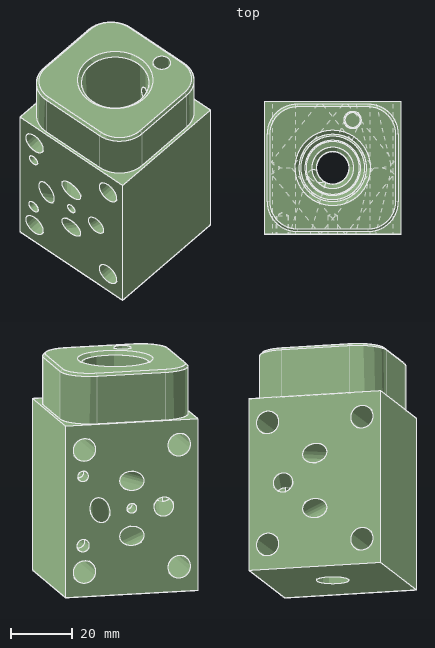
import math

import cadquery as cq

BLOCK_X = 44.45
BLOCK_Y = 43.18
BLOCK_Z = 57.15
TOTAL_Z = 73.81
FRONT_Y = -BLOCK_Y / 2

BOSS_X = 42.55
BOSS_Y = 41.45
BOSS_CORNER_RADIUS = 9.8
BOSS_CHAMFER = 0.85

MOUTH_RADIUS = 12.25
BORE_RADIUS = 10.95
STEP_RADIUS = 10.35
SEAT_RADIUS = 9.0
NOSE_RADIUS = 8.6
POCKET_RADIUS = 6.75
OUTLET_RADIUS = 5.25
BORE_FLOOR_Z = 46.0
SEAT_Z = 32.0
NOSE_FLOOR_Z = 22.0
POCKET_FLOOR_Z = 14.5
TAPER = math.radians(30)
DRILL_POINT = math.radians(59)

BOLT_DIAMETER = 7.5
BOLT_PITCH_X = 31.8
BOLT_PITCH_Z = 40.6
PORT_CENTRE_Z = 28.575

PASSAGE_DIAMETER = 6.35
PORT_OFFSET_X = 10.7
PORT_OFFSET_Z = 9.15
BYPASS_ANGLE = math.radians(39)
SIDE_ANGLE = math.radians(13.5)
TOP_PASSAGE_SLOPE = 0.14
FEED_END = (-4.9, -2.6, 12.5)

BLIND_DEPTH = 6.0
PIN_X = -16.35
UPPER_PIN_Z = 40.1
UPPER_PIN_DIAMETER = 3.5
LOWER_PIN_Z = 17.05
LOWER_PIN_DIAMETER = 4.1
PILOT_DIAMETER = 3.2

DRAIN_X = 6.45
DRAIN_Y = 15.55
DRAIN_DIAMETER = 5.65
DRAIN_DEPTH = 24.0
DRAIN_FLOOR_BEVEL = 0.4
LINK_DIAMETER = 4.76
LINK_ANGLE = math.radians(45)
LINK_WALL_Z = 60.4


def block_with_boss():
    block = cq.Workplane("XY").box(BLOCK_X, BLOCK_Y, BLOCK_Z, centered=(True, True, False))
    boss = (
        cq.Workplane("XY")
        .workplane(offset=BLOCK_Z)
        .rect(BOSS_X, BOSS_Y)
        .extrude(TOTAL_Z - BLOCK_Z)
        .edges("|Z")
        .fillet(BOSS_CORNER_RADIUS)
        .faces(">Z")
        .chamfer(BOSS_CHAMFER)
    )
    return block.union(boss)


def cavity():
    """Body of revolution about Z: mouth chamfer, bore, seat, nose, pocket and outlet."""
    mouth_z = TOTAL_Z - (MOUTH_RADIUS - BORE_RADIUS)
    seat_top_z = BORE_FLOOR_Z - (STEP_RADIUS - SEAT_RADIUS) / math.tan(TAPER)
    nose_top_z = SEAT_Z - (SEAT_RADIUS - NOSE_RADIUS) / math.tan(TAPER)
    outlet_z = POCKET_FLOOR_Z - (POCKET_RADIUS - OUTLET_RADIUS) / math.tan(DRILL_POINT)
    profile = [
        (0, 0),
        (OUTLET_RADIUS, 0),
        (OUTLET_RADIUS, outlet_z),
        (POCKET_RADIUS, POCKET_FLOOR_Z),
        (POCKET_RADIUS, NOSE_FLOOR_Z),
        (NOSE_RADIUS, NOSE_FLOOR_Z),
        (NOSE_RADIUS, nose_top_z),
        (SEAT_RADIUS, SEAT_Z),
        (SEAT_RADIUS, seat_top_z),
        (STEP_RADIUS, BORE_FLOOR_Z),
        (BORE_RADIUS, BORE_FLOOR_Z),
        (BORE_RADIUS, mouth_z),
        (MOUTH_RADIUS, TOTAL_Z),
        (0, TOTAL_Z),
    ]
    return cq.Workplane("XZ").polyline(profile).close().revolve(360, (0, 0, 0), (0, 1, 0))


def drilling(start, end, diameter, lead=0.0, tip=True):
    """Round hole from start to end, begun `lead` before start, with a drill tip past the end."""
    start = cq.Vector(*start)
    end = cq.Vector(*end)
    axis = (end - start).normalized()
    length = (end - start).Length + lead
    radius = diameter / 2
    origin = start - axis * lead
    hole = cq.Solid.makeCylinder(radius, length, origin, axis)
    if tip:
        tip_length = radius / math.tan(DRILL_POINT)
        hole = hole.fuse(cq.Solid.makeCone(radius, 0, tip_length, end, axis))
    return hole


def bolt_holes():
    return (
        cq.Workplane("XZ", origin=(0, 0, PORT_CENTRE_Z))
        .rect(BOLT_PITCH_X, BOLT_PITCH_Z, forConstruction=True)
        .vertices()
        .circle(BOLT_DIAMETER / 2)
        .extrude(BLOCK_Y / 2, both=True)
    )


def bypass_passage(port_x, port_z, angle, slope=0.0):
    """V-shaped passage: two drillings from opposite faces, meeting beside the cavity at Y = 0."""
    sideways = BLOCK_Y / 2 * math.tan(angle)
    elbow = (port_x + sideways, 0, port_z + slope * abs(sideways))
    halves = []
    for port_y in (FRONT_Y, -FRONT_Y):
        port = (port_x, port_y, port_z)
        halves.append(drilling(port, elbow, PASSAGE_DIAMETER, lead=PASSAGE_DIAMETER, tip=False))
    return halves[0].fuse(halves[1])


def feed_passage():
    """Drilling that slopes down from the -X port into the cavity's pocket."""
    port = (-PORT_OFFSET_X, FRONT_Y, PORT_CENTRE_Z)
    return drilling(port, FEED_END, PASSAGE_DIAMETER, lead=PASSAGE_DIAMETER)


def blind_hole(x, z, diameter):
    return drilling((x, FRONT_Y, z), (x, FRONT_Y + BLIND_DEPTH, z), diameter)


def drain():
    """Vertical hole with a bevelled floor, joined to the cavity by a sloping radial link."""
    hole = (
        cq.Workplane("XY", origin=(DRAIN_X, DRAIN_Y, TOTAL_Z))
        .circle(DRAIN_DIAMETER / 2)
        .extrude(-DRAIN_DEPTH)
        .faces("<Z")
        .chamfer(DRAIN_FLOOR_BEVEL)
    )
    drain_distance = math.hypot(DRAIN_X, DRAIN_Y)
    link_fall = (drain_distance - BORE_RADIUS) * math.tan(LINK_ANGLE)
    wall_share = BORE_RADIUS / drain_distance
    link_start = (DRAIN_X * wall_share, DRAIN_Y * wall_share, LINK_WALL_Z)
    link_end = (DRAIN_X, DRAIN_Y, LINK_WALL_Z - link_fall)
    link = drilling(link_start, link_end, LINK_DIAMETER, lead=LINK_DIAMETER, tip=False)
    return hole.union(cq.Workplane(link))


result = block_with_boss().cut(cavity()).cut(bolt_holes()).cut(drain())

passages = [
    bypass_passage(0, PORT_CENTRE_Z + PORT_OFFSET_Z, -BYPASS_ANGLE, TOP_PASSAGE_SLOPE),
    bypass_passage(0, PORT_CENTRE_Z - PORT_OFFSET_Z, BYPASS_ANGLE),
    bypass_passage(PORT_OFFSET_X, PORT_CENTRE_Z, SIDE_ANGLE),
    feed_passage(),
    blind_hole(PIN_X, UPPER_PIN_Z, UPPER_PIN_DIAMETER),
    blind_hole(PIN_X, LOWER_PIN_Z, LOWER_PIN_DIAMETER),
    blind_hole(0, PORT_CENTRE_Z, PILOT_DIAMETER),
]
for passage in passages:
    result = result.cut(cq.Workplane(passage))